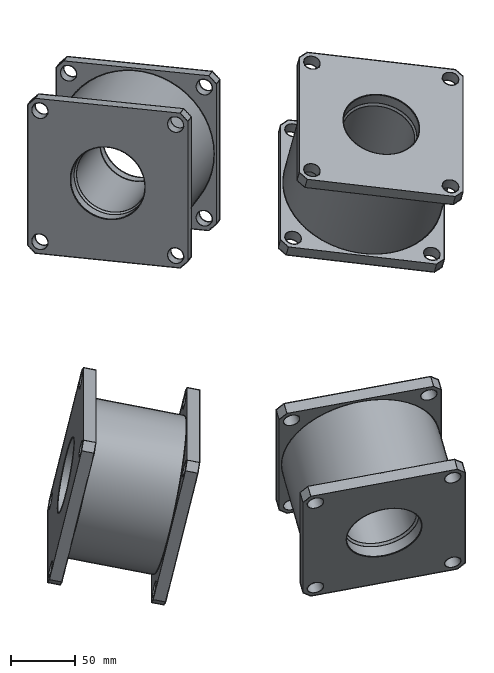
import cadquery as cq

flange_side = 130.0
overall_length = 93.0
flange_thickness = 10.0
corner_chamfer = 6.2

barrel_diameter = 126.8
barrel_edge_chamfer = 0.5

bore_diameter = 57.5
mouth_diameter = 60.0
mouth_depth = 10.0
cone_length = 2.2
mouth_edge_chamfer = 0.4

bolt_hole_diameter = 13.0
bolt_spacing = 110.0

half_length = overall_length / 2
barrel_length = overall_length - 2 * flange_thickness


def cylinder(diameter, start, length):
    """Cylinder on the Y axis, running from start towards +Y."""
    return cq.Workplane("XZ", origin=(0, start, 0)).circle(diameter / 2).extrude(-length)


def flange(start):
    """Square plate with clipped corners and four bolt holes."""
    return (
        cq.Workplane("XZ", origin=(0, start, 0))
        .rect(flange_side, flange_side)
        .extrude(-flange_thickness)
        .edges("|Y")
        .chamfer(corner_chamfer)
        .cut(
            cq.Workplane("XZ", origin=(0, start, 0))
            .rect(bolt_spacing, bolt_spacing, forConstruction=True)
            .vertices()
            .circle(bolt_hole_diameter / 2)
            .extrude(-flange_thickness)
        )
    )


barrel = cylinder(barrel_diameter, -barrel_length / 2, barrel_length)
result = barrel.faces("|Y").edges().chamfer(barrel_edge_chamfer)
for flange_start in (-half_length, half_length - flange_thickness):
    result = result.union(flange(flange_start))

bore_radius = bore_diameter / 2
mouth_radius = mouth_diameter / 2
cone_end = half_length - mouth_depth - cone_length
half_bore = (
    cq.Workplane("XY")
    .moveTo(0, 0)
    .lineTo(bore_radius, 0)
    .lineTo(bore_radius, cone_end)
    .lineTo(mouth_radius, half_length - mouth_depth)
    .lineTo(mouth_radius, half_length - mouth_edge_chamfer)
    .lineTo(mouth_radius + mouth_edge_chamfer, half_length)
    .lineTo(0, half_length)
    .close()
    .revolve(360, (0, 0, 0), (0, 1, 0))
)
result = result.cut(half_bore).cut(half_bore.mirror("XZ"))